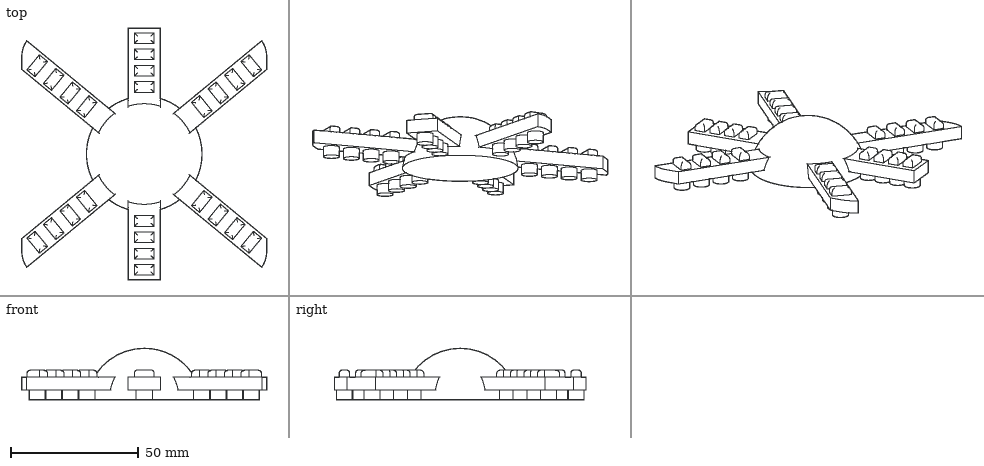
import cadquery as cq

overall_x = 96.5
overall_y = 99.1
outline_corner_radius = 11.4

dome_height = 20.3
dome_base_radius = 22.8
dome_sphere_radius = (dome_base_radius**2 + dome_height**2) / (2 * dome_height)

bar_bottom_z = 3.8
bar_top_z = 8.9
bar_thickness = bar_top_z - bar_bottom_z
lap_z = (bar_bottom_z + bar_top_z) / 2
straight_bar_width = 12.8
diagonal_bar_width = 10.0
straight_bar_angle = 90.0
diagonal_bar_angle = 39.5
diagonal_bar_angles = [diagonal_bar_angle, -diagonal_bar_angle]
diagonal_blank_length = 1.5 * overall_x

stations_per_arm = 4
straight_first_station = 26.35
straight_last_station = 45.6
diagonal_first_station = 29.3
diagonal_last_station = 54.6

pad_width = 4.2
pad_length = 7.7
pad_height = 2.9
pad_fillet = 1.4
peg_diameter = 6.3


def turn(shape, angle):
    """Rotate about the dome axis."""
    return shape.rotate((0, 0, 0), (0, 0, 1), angle)


def make_station_points(first, last):
    """Station centres on both arms of a bar lying along X."""
    pitch = (last - first) / (stations_per_arm - 1)
    distances = [first + i * pitch for i in range(stations_per_arm)]
    return [(side * distance, 0) for side in (-1, 1) for distance in distances]


def make_dome():
    sphere_center_z = dome_height - dome_sphere_radius
    ball = cq.Workplane("XY").sphere(dome_sphere_radius).translate((0, 0, sphere_center_z))
    above_base = cq.Workplane("XY").circle(2 * dome_base_radius).extrude(2 * dome_height)
    return ball.intersect(above_base)


def make_beam(length, width):
    """Plain rectangular bar along X, centred on the dome axis."""
    return cq.Workplane("XY").workplane(offset=bar_bottom_z).rect(length, width).extrude(bar_thickness)


def make_pads(points):
    pads = cq.Workplane("XY").workplane(offset=bar_top_z).pushPoints(points)
    return pads.rect(pad_width, pad_length).extrude(pad_height).faces(">Z").edges().fillet(pad_fillet)


def make_pegs(points):
    return cq.Workplane("XY").pushPoints(points).circle(peg_diameter / 2).extrude(bar_bottom_z)


def trim_to_outline(beam):
    """Cut the bar ends to the rounded rectangle around the whole part."""
    outline = cq.Workplane("XY").rect(overall_x, overall_y).extrude(bar_top_z)
    return beam.intersect(outline.edges("|Z").fillet(outline_corner_radius))


def make_straight_bar():
    points = make_station_points(straight_first_station, straight_last_station)
    bar = make_beam(overall_y, straight_bar_width).union(make_pads(points)).union(make_pegs(points))
    return turn(bar, straight_bar_angle)


def make_diagonal_bar(angle):
    points = make_station_points(diagonal_first_station, diagonal_last_station)
    beam = trim_to_outline(turn(make_beam(diagonal_blank_length, diagonal_bar_width), angle))
    return beam.union(turn(make_pads(points), angle)).union(turn(make_pegs(points), angle))


def make_diagonal_cross():
    """Two mirrored bars crossing on the dome axis, joined as one body."""
    first_bar, second_bar = [make_diagonal_bar(angle) for angle in diagonal_bar_angles]
    return first_bar.union(second_bar)


def make_block_below_lap():
    """Block that holds everything under the half-lap joint plane."""
    return cq.Workplane("XY").rect(2 * overall_x, 2 * overall_y).extrude(lap_z)


straight_bar_blank = make_straight_bar()
cross_blank = make_diagonal_cross()
below_lap = make_block_below_lap()
straight_bar = straight_bar_blank.cut(cross_blank.intersect(below_lap))
diagonal_cross = cross_blank.cut(straight_bar)

dome = make_dome().cut(straight_bar).cut(diagonal_cross)

result = cq.Compound.makeCompound(
    [dome.solids().val(), straight_bar.solids().val(), diagonal_cross.solids().val()]
)